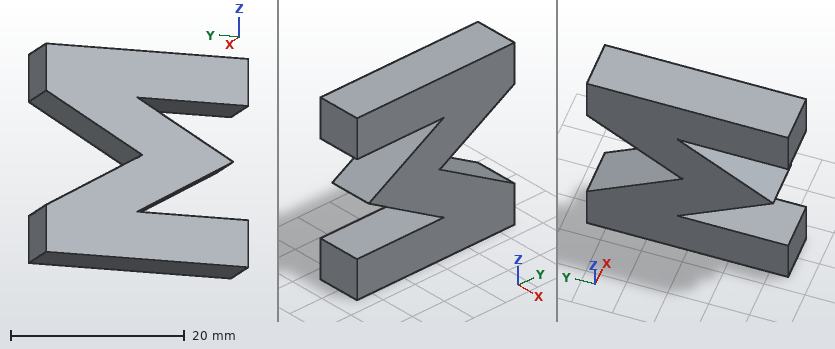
import cadquery as cq
import math

THICKNESS = 6.25
SIDE = 24.64
LEG_WIDTH = 5.57
DIAGONAL_ANGLE = 30.0
TIP_SETBACK = 1.83

half_side = SIDE / 2
half_gap = half_side - LEG_WIDTH
diagonal_run = half_gap / math.tan(math.radians(DIAGONAL_ANGLE))

notch_root_y = half_side - diagonal_run
tip_y = -half_side + TIP_SETBACK
crotch_y = tip_y + diagonal_run


def letter_block():
    """Letter-M plate lying on its side: legs along Y, middle tip towards -Y."""
    upper_outline = [
        (notch_root_y, 0),
        (half_side, half_gap),
        (half_side, half_side),
        (-half_side, half_side),
        (-half_side, half_gap),
        (crotch_y, half_gap),
        (tip_y, 0),
    ]
    lower_outline = [(y, -z) for y, z in reversed(upper_outline[1:-1])]
    profile = cq.Workplane("YZ").polyline(upper_outline + lower_outline).close()
    return profile.extrude(THICKNESS / 2, both=True)


result = letter_block()